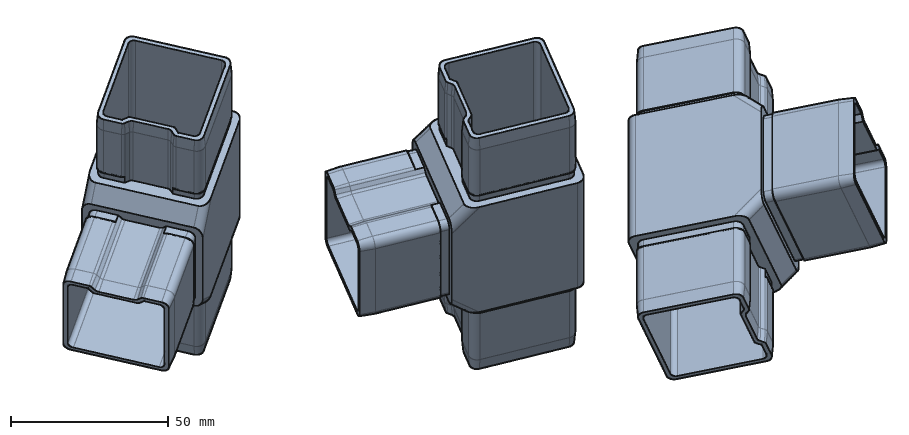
import cadquery as cq
import math

BODY_WIDTH = 40.0
BODY_REACH = 25.0
BODY_CHAMFER = BODY_REACH - BODY_WIDTH / 2
BODY_FILLET = 3.0

SPIGOT_LENGTH = 30.0
SPIGOT_HALF = 17.9
SPIGOT_CORNER = 2.9
NECK_LENGTH = 3.0
TIP_LENGTH = 5.0
RELIEF = 0.4

GROOVE_DEPTH = 2.0
GROOVE_FILLET = 1.5
GROOVE_OUTER_HALF = 9.0

BORE_HALF = 16.0
BORE_CORNER = 1.8
BORE_RIB_DEPTH = 1.8
BORE_RIB_HALF = 7.5

SIN_45 = math.sqrt(0.5)


def spigot_outline(inset, height):
    """Grooved square section at a height, offset inward by inset about fixed arc centres."""
    half = SPIGOT_HALF - inset
    corner = SPIGOT_CORNER - inset
    corner_centre = SPIGOT_HALF - SPIGOT_CORNER
    corner_mid = corner_centre + corner * SIN_45

    lip = GROOVE_FILLET - inset
    lip_x = GROOVE_OUTER_HALF
    lip_y = -(SPIGOT_HALF - GROOVE_FILLET)

    flank = GROOVE_DEPTH - 2 * GROOVE_FILLET * (1 - SIN_45)
    root = GROOVE_FILLET + inset
    root_x = lip_x - 2 * GROOVE_FILLET * SIN_45 - flank
    root_y = -(SPIGOT_HALF - GROOVE_DEPTH + GROOVE_FILLET)

    def arc_point(centre_x, centre_y, radius, degrees):
        angle = math.radians(degrees)
        return centre_x + radius * math.cos(angle), centre_y + radius * math.sin(angle)

    def mirrored(point):
        return -point[0], point[1]

    root_arc = [arc_point(root_x, root_y, root, degrees) for degrees in (90, 67.5, 45)]
    lip_arc = [arc_point(lip_x, lip_y, lip, degrees) for degrees in (225, 247.5, 270)]

    return (
        cq.Workplane("XY", origin=(0, 0, height))
        .moveTo(*mirrored(root_arc[0]))
        .lineTo(*root_arc[0])
        .threePointArc(root_arc[1], root_arc[2])
        .lineTo(*lip_arc[0])
        .threePointArc(lip_arc[1], lip_arc[2])
        .lineTo(corner_centre, -half)
        .threePointArc((corner_mid, -corner_mid), (half, -corner_centre))
        .lineTo(half, corner_centre)
        .threePointArc((corner_mid, corner_mid), (corner_centre, half))
        .lineTo(-corner_centre, half)
        .threePointArc((-corner_mid, corner_mid), (-half, corner_centre))
        .lineTo(-half, -corner_centre)
        .threePointArc((-corner_mid, -corner_mid), (-corner_centre, -half))
        .lineTo(*mirrored(lip_arc[2]))
        .threePointArc(mirrored(lip_arc[1]), mirrored(lip_arc[0]))
        .lineTo(*mirrored(root_arc[2]))
        .threePointArc(mirrored(root_arc[1]), mirrored(root_arc[0]))
        .close()
    )


def rounded_square(half, corner, start, length):
    """Square bar along Z with rounded long edges."""
    return (
        cq.Workplane("XY", origin=(0, 0, start))
        .rect(2 * half, 2 * half)
        .extrude(length)
        .edges("|Z")
        .fillet(corner)
    )


def make_spigot():
    """Solid spigot rising from the top of the body, groove facing -Y."""
    neck_end = BODY_REACH + NECK_LENGTH
    spigot_end = BODY_REACH + SPIGOT_LENGTH
    tip_start = spigot_end - TIP_LENGTH

    neck_limit = rounded_square(
        SPIGOT_HALF - RELIEF, SPIGOT_CORNER - RELIEF, BODY_REACH, NECK_LENGTH
    )
    neck = spigot_outline(0, BODY_REACH).extrude(NECK_LENGTH).intersect(neck_limit)
    grip = spigot_outline(0, neck_end).extrude(tip_start - neck_end)

    tip_wires = [
        spigot_outline(0, tip_start).val(),
        spigot_outline(RELIEF, spigot_end).val(),
    ]
    tip = cq.Workplane(cq.Solid.makeLoft(tip_wires, True))
    return neck.union(grip).union(tip)


def make_bore():
    """Bore from the centre to the spigot end, with the rib on its -Y side."""
    length = BODY_REACH + SPIGOT_LENGTH
    rib_crest = -BORE_HALF + BORE_RIB_DEPTH
    rib_foot_half = BORE_RIB_HALF + BORE_RIB_DEPTH
    rib = (
        cq.Workplane("XY")
        .moveTo(-rib_foot_half, -BORE_HALF)
        .lineTo(rib_foot_half, -BORE_HALF)
        .lineTo(BORE_RIB_HALF, rib_crest)
        .lineTo(-BORE_RIB_HALF, rib_crest)
        .close()
        .extrude(length)
    )
    return rounded_square(BORE_HALF, BORE_CORNER, 0, length).cut(rib)


def three_ways(upper):
    """The upper shape, its mirror image below, and that image swung round to face -Y."""
    lower = upper.mirror("XY")
    side = lower.rotate((0, 0, 0), (1, 0, 0), -90)
    return [upper, lower, side]


def make_body():
    """Body block with chamfered front corners and rounded back and chamfer edges."""
    depth = BODY_WIDTH / 2 + BODY_REACH
    block = (
        cq.Workplane("XY")
        .box(BODY_WIDTH, depth, 2 * BODY_REACH)
        .translate((0, BODY_WIDTH / 2 - depth / 2, 0))
    )
    block = block.faces("<Y").edges("|X").chamfer(BODY_CHAMFER)
    block = block.faces(">Y").edges("|Z").fillet(BODY_FILLET)
    for slope in ((0, 1, 1), (0, 1, -1)):
        block = block.edges(cq.selectors.ParallelDirSelector(cq.Vector(*slope))).fillet(BODY_FILLET)
    return block


result = make_body()
for spigot in three_ways(make_spigot()):
    result = result.union(spigot)
for bore in three_ways(make_bore()):
    result = result.cut(bore)